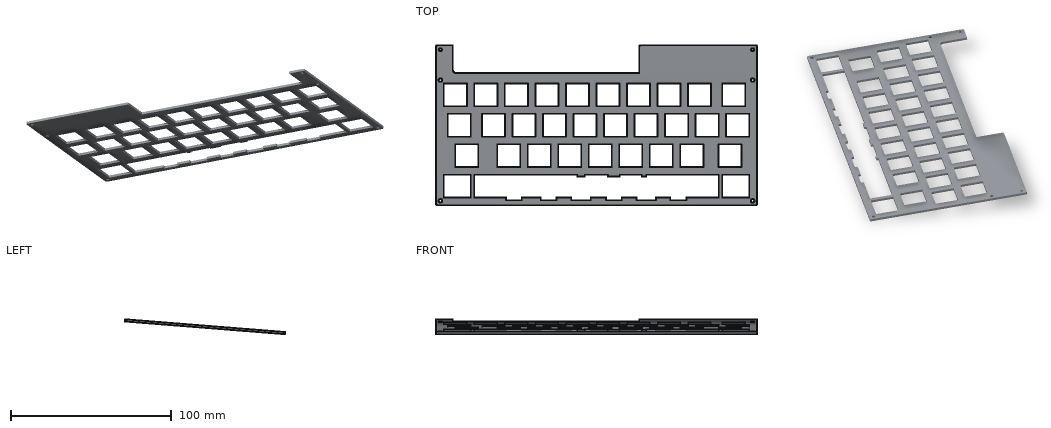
import cadquery as cq

PLATE_LENGTH = 200.0
PLATE_DEPTH = 100.0
PLATE_THICKNESS = 1.5
TILT_ANGLE = 4.55
CORNER_RADIUS = 1.0
RECESS_INNER_RADIUS = 2.0

RECESS_LEFT = -89.5
RECESS_RIGHT = 26.6
RECESS_DEPTH = 17.5

HOLE_DIAMETER = 2.2
REAR_HOLE_DIAMETER = 1.78
HOLE_INSET = 2.8
HOLE_ROW_GAP = 19.0

KEY_PITCH = 19.0
KEY_CUTOUT = 14.2
GRID_UNITS = 10.25
GRID_WIDTH = GRID_UNITS * KEY_PITCH
GRID_LEFT = -GRID_WIDTH / 2
WIDE_KEY = 1.25
KEY_ROWS = [
    (KEY_PITCH, [1] * 9 + [WIDE_KEY]),
    (0.0, [WIDE_KEY] + [1] * 9),
    (-KEY_PITCH, [1.75] + [1] * 7 + [1.5]),
]

FRONT_ROW_Y = -2 * KEY_PITCH
KEY_GAP = KEY_PITCH - KEY_CUTOUT
END_KEY_CUTOUT = KEY_CUTOUT + (WIDE_KEY - 1) / 2 * KEY_PITCH
END_KEY_X = GRID_WIDTH / 2 - KEY_GAP / 2 - END_KEY_CUTOUT / 2
SLOT_LENGTH = GRID_WIDTH - 2 * KEY_PITCH - KEY_GAP
SLOT_FRONT_Y = FRONT_ROW_Y - KEY_CUTOUT / 2
SLOT_REAR_Y = FRONT_ROW_Y + KEY_CUTOUT / 2

NOTCH_DEPTH = 1.8
NOTCHES = [(-51.5, 9.6), (-29.8, 9.6), (-9.6, 12.0), (10.8, 9.6), (31.0, 12.0), (51.0, 10.0)]
TAB_DEPTH = 1.2
TABS = [(-9.6, 4.8), (10.8, 7.5), (29.6, 3.0)]


def block(x, y, width, depth):
    """Plate-thick rectangular block centred at (x, y)."""
    return cq.Workplane("XY").box(width, depth, PLATE_THICKNESS).translate((x, y, 0))


def plate_blank():
    """Outline with the rear recess; the four plate corners and two recess corners are rounded."""
    half_length = PLATE_LENGTH / 2
    rear = PLATE_DEPTH / 2
    recess_floor = rear - RECESS_DEPTH
    outline = [
        (-half_length, -rear),
        (half_length, -rear),
        (half_length, rear),
        (RECESS_RIGHT, rear),
        (RECESS_RIGHT, recess_floor),
        (RECESS_LEFT, recess_floor),
        (RECESS_LEFT, rear),
        (-half_length, rear),
    ]
    rounded = [
        (-half_length, -rear, CORNER_RADIUS),
        (half_length, -rear, CORNER_RADIUS),
        (half_length, rear, CORNER_RADIUS),
        (RECESS_RIGHT, rear, CORNER_RADIUS),
        (RECESS_LEFT, recess_floor, RECESS_INNER_RADIUS),
        (-half_length, rear, CORNER_RADIUS),
    ]
    blank = cq.Workplane("XY").polyline(outline).close().extrude(PLATE_THICKNESS / 2, both=True)
    for x, y, radius in rounded:
        blank = blank.edges(cq.selectors.NearestToPointSelector((x, y, 0))).fillet(radius)
    return blank


def key_cutouts():
    """Square switch openings, each centred in its key."""
    cutouts = cq.Workplane("XY")
    for row_y, key_widths in KEY_ROWS:
        key_left = GRID_LEFT
        for units in key_widths:
            key_width = units * KEY_PITCH
            cutouts = cutouts.add(block(key_left + key_width / 2, row_y, KEY_CUTOUT, KEY_CUTOUT))
            key_left += key_width
    for side in (-1, 1):
        cutouts = cutouts.add(block(side * END_KEY_X, FRONT_ROW_Y, END_KEY_CUTOUT, KEY_CUTOUT))
    return cutouts.combine()


def space_bar_slot():
    """Long slot, widened by notches at the front and narrowed by tabs at the rear."""
    slot = block(0, FRONT_ROW_Y, SLOT_LENGTH, KEY_CUTOUT)
    for x, width in NOTCHES:
        slot = slot.union(block(x, SLOT_FRONT_Y, width, 2 * NOTCH_DEPTH))
    for x, width in TABS:
        slot = slot.cut(block(x, SLOT_REAR_Y, width, 2 * TAB_DEPTH))
    return slot


def screw_holes(diameter, rows):
    """One hole at each side for every row position."""
    side_x = PLATE_LENGTH / 2 - HOLE_INSET
    points = [(x, y) for x in (-side_x, side_x) for y in rows]
    return cq.Workplane("XY").pushPoints(points).circle(diameter / 2).extrude(PLATE_THICKNESS, both=True)


rear_hole_y = PLATE_DEPTH / 2 - HOLE_INSET
flat_plate = (
    plate_blank()
    .cut(key_cutouts())
    .cut(space_bar_slot())
    .cut(screw_holes(REAR_HOLE_DIAMETER, [rear_hole_y]))
    .cut(screw_holes(HOLE_DIAMETER, [rear_hole_y - HOLE_ROW_GAP, -rear_hole_y]))
)
result = flat_plate.rotate((0, 0, 0), (1, 0, 0), TILT_ANGLE)